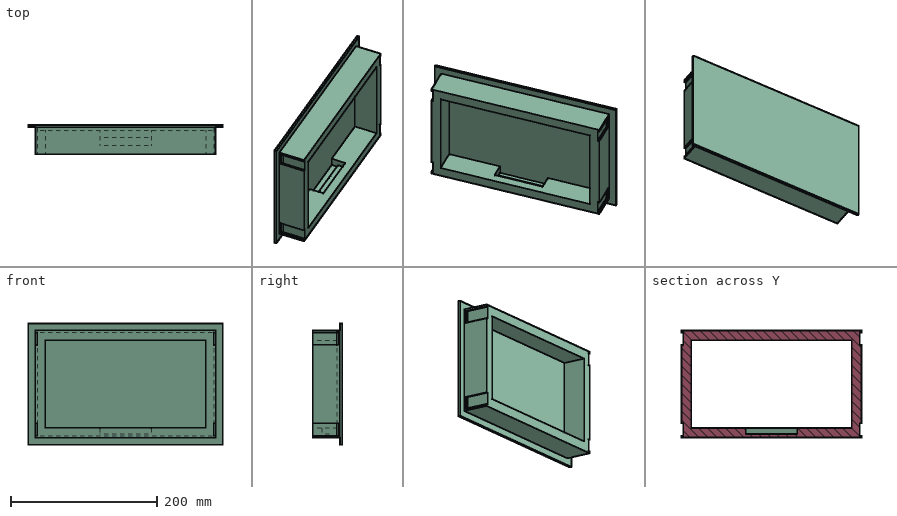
import cadquery as cq

cover_width = 266.0
cover_height = 166.0
cover_thickness = 3.2
total_depth = 40.5

frame_width = 246.3
frame_height = 146.5
wall = 2.5
window_width = 219.2
window_height = 119.5

plug_depth = 4.5

notch_height = 16.8
notch_end_gap = 3.0
notch_back_gap = 1.3

pocket_width = 70.2
pocket_depth = 20.5
step_setback = 9.3
step_height = 3.0

front_y = -total_depth / 2
cover_y = total_depth / 2 - cover_thickness
plug_y = cover_y - plug_depth


def block(width, height, start_y, end_y, center_x=0, center_z=0):
    """Box between two Y planes, centred on the given X and Z."""
    return cq.Workplane("XY").box(width, end_y - start_y, height).translate(
        (center_x, (start_y + end_y) / 2, center_z)
    )


def make_plug():
    return block(frame_width - 2 * wall, frame_height - 2 * wall, plug_y, cover_y)


def make_cover():
    plate = block(cover_width, cover_height, cover_y, total_depth / 2)
    return plate.union(make_plug())


def cut_notches(body):
    center_x = (frame_width - wall) / 2
    center_z = (frame_height - notch_height) / 2 - notch_end_gap
    for side_x in (-1, 1):
        for side_z in (-1, 1):
            notch = block(
                wall, notch_height, front_y, cover_y - notch_back_gap, side_x * center_x, side_z * center_z
            )
            body = body.cut(notch)
    return body


def cut_pocket(body):
    floor_z = -frame_height / 2 + wall
    window_bottom_z = -window_height / 2
    pocket_front_y = plug_y - pocket_depth
    profile = [
        (plug_y, window_bottom_z),
        (plug_y, floor_z),
        (plug_y - step_setback, floor_z),
        (plug_y - step_setback, floor_z + step_height),
        (pocket_front_y, floor_z + step_height),
        (pocket_front_y, window_bottom_z),
    ]
    pocket = cq.Workplane("YZ").polyline(profile).close().extrude(pocket_width / 2, both=True)
    return body.cut(pocket)


def make_frame():
    body = block(frame_width, frame_height, front_y, cover_y)
    body = body.cut(block(window_width, window_height, front_y, cover_y))
    body = body.cut(make_plug())
    return cut_pocket(cut_notches(body))


cover = make_cover()
frame = make_frame()

result = cq.Compound.makeCompound([cover.val(), frame.val()])